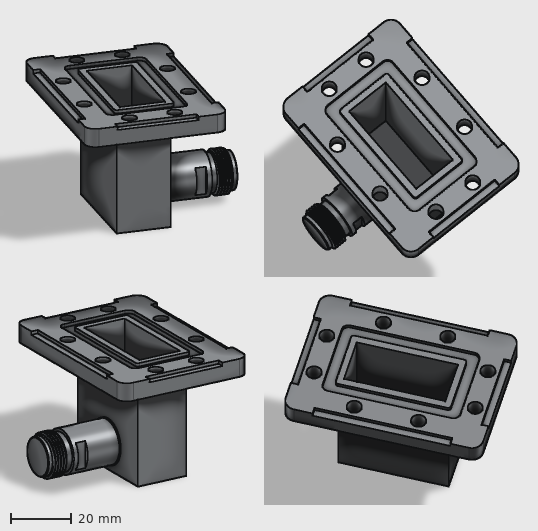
import cadquery as cq

OVERLAP = 0.35

FLANGE_X = 68.25
FLANGE_Y = 49.3
FLANGE_THICKNESS = 6.5
FLANGE_CORNER_RADIUS = 3.9

GROOVE_X = 47.5
GROOVE_Y = 28.45
GROOVE_CORNER_RADIUS = 2.4
RECESS_DEPTH = 1.2
EDGE_RECESS_WIDTH = 2.45
RIM_X = 39.8
RIM_Y = 20.9
RIM_CORNER_RADIUS = 1.0

HOLE_DIAMETER = 5.05
LONG_EDGE_PAIR = (22.2, 36.5)
SHORT_EDGE_PAIR = (55.6, 15.9)

TOTAL_HEIGHT = 44.4
CAVITY_X = 35.0
CAVITY_Y = 15.8
WALL = 1.6
BODY_X = CAVITY_X + 2 * WALL
BODY_Y = CAVITY_Y + 2 * WALL
BODY_BACK = BODY_Y / 2

CONNECTOR_Z = -34.5
TOTAL_DEPTH = 61.6
CONNECTOR_END = TOTAL_DEPTH - FLANGE_Y / 2
BARREL_DIAMETER = 16.0
BARREL_END = 27.65
COLLAR_DIAMETER = 16.5
COLLAR_THICKNESS = 0.4
FLATS_START = 22.25
FLATS_END = 25.95
ACROSS_FLATS = 12.7
NECK_DIAMETER = 13.7
NECK_CHAMFER = 0.3

THREAD_DIAMETER = 15.8
THREAD_ROOT_DIAMETER = 14.25
THREAD_START = 29.75
THREAD_END = 35.35
THREAD_PITCH = 1.06
THREAD_CREST = 0.15
CREST_CLEARANCE = 0.035
THREAD_BEVEL = 0.7
HELIX_TURNS = 6.5
HELIX_START = THREAD_START - 0.7 * THREAD_PITCH


def block(size_x, size_y, height, top=0.0):
    """Box centred on the Z axis that hangs down from the given height."""
    return cq.Workplane("XY", origin=(0, 0, top)).rect(size_x, size_y).extrude(-height)


def rounded_block(size_x, size_y, height, radius):
    return block(size_x, size_y, height).edges("|Z").fillet(radius)


def cylinder_along_y(diameter, start, end):
    """Cylinder on the connector axis between two Y positions."""
    plane = cq.Workplane("XZ", origin=(0, start, CONNECTOR_Z))
    return plane.circle(diameter / 2).extrude(start - end)


def make_flange():
    flange = rounded_block(FLANGE_X, FLANGE_Y, FLANGE_THICKNESS, FLANGE_CORNER_RADIUS)

    rim = rounded_block(RIM_X, RIM_Y, RECESS_DEPTH, RIM_CORNER_RADIUS)
    groove = rounded_block(GROOVE_X, GROOVE_Y, RECESS_DEPTH, GROOVE_CORNER_RADIUS).cut(rim)
    flange = flange.cut(groove)

    for side in (-1, 1):
        long_edge = block(GROOVE_X, 2 * EDGE_RECESS_WIDTH, RECESS_DEPTH)
        short_edge = block(2 * EDGE_RECESS_WIDTH, GROOVE_Y, RECESS_DEPTH)
        flange = flange.cut(long_edge.translate((0, side * FLANGE_Y / 2, 0)))
        flange = flange.cut(short_edge.translate((side * FLANGE_X / 2, 0, 0)))

    for spacing_x, spacing_y in (LONG_EDGE_PAIR, SHORT_EDGE_PAIR):
        pattern = cq.Workplane("XY").rect(spacing_x, spacing_y, forConstruction=True).vertices()
        flange = flange.cut(pattern.circle(HOLE_DIAMETER / 2).extrude(-FLANGE_THICKNESS))
    return flange


def make_thread():
    """Helical ridge on its blank, both trimmed by a cylinder with bevelled ends."""
    buried_radius = THREAD_ROOT_DIAMETER / 2 - OVERLAP
    crest_radius = THREAD_DIAMETER / 2
    half_base = 0.49 * THREAD_PITCH
    half_crest = THREAD_CREST / 2
    profile = cq.Workplane("XZ").polyline([
        (buried_radius, -half_base),
        (crest_radius, -half_crest),
        (crest_radius, half_crest),
        (buried_radius, half_base),
    ]).close()
    helix = cq.Wire.makeHelix(THREAD_PITCH, HELIX_TURNS * THREAD_PITCH, buried_radius)
    ridge = profile.sweep(cq.Workplane(helix), isFrenet=True)
    ridge = ridge.rotate((0, 0, 0), (1, 0, 0), -90).translate((0, HELIX_START, CONNECTOR_Z))

    blank = cylinder_along_y(THREAD_ROOT_DIAMETER, THREAD_START, THREAD_END)
    neck_radius = NECK_DIAMETER / 2
    outer_radius = crest_radius + CREST_CLEARANCE
    envelope = (
        cq.Workplane("XY")
        .moveTo(0, THREAD_START)
        .lineTo(neck_radius, THREAD_START)
        .lineTo(outer_radius, THREAD_START + THREAD_BEVEL)
        .lineTo(outer_radius, THREAD_END - THREAD_BEVEL)
        .lineTo(neck_radius, THREAD_END)
        .lineTo(0, THREAD_END)
        .close()
        .revolve(360, (0, 0, 0), (0, 1, 0))
        .translate((0, 0, CONNECTOR_Z))
    )
    return blank.union(ridge).intersect(envelope)


def make_connector():
    barrel = cylinder_along_y(BARREL_DIAMETER, BODY_BACK - OVERLAP, BARREL_END)

    flats_length = FLATS_END - FLATS_START
    band = cylinder_along_y(BARREL_DIAMETER + OVERLAP, FLATS_START, FLATS_END)
    between_flats = cq.Workplane("XY").box(ACROSS_FLATS, flats_length, 2 * BARREL_DIAMETER)
    between_flats = between_flats.translate((0, FLATS_START + flats_length / 2, CONNECTOR_Z))
    barrel = barrel.cut(band.cut(between_flats))

    collar = cylinder_along_y(COLLAR_DIAMETER, BODY_BACK - OVERLAP, BODY_BACK + COLLAR_THICKNESS)
    neck = cylinder_along_y(NECK_DIAMETER, BARREL_END - OVERLAP, CONNECTOR_END)
    neck = neck.faces(">Y").edges().chamfer(NECK_CHAMFER)
    return barrel.union(collar).union(neck.union(make_thread()))


body = block(BODY_X, BODY_Y, TOTAL_HEIGHT - RECESS_DEPTH, top=-RECESS_DEPTH)
cavity = block(CAVITY_X, CAVITY_Y, TOTAL_HEIGHT - WALL)
result = make_flange().union(body).union(make_connector()).cut(cavity)